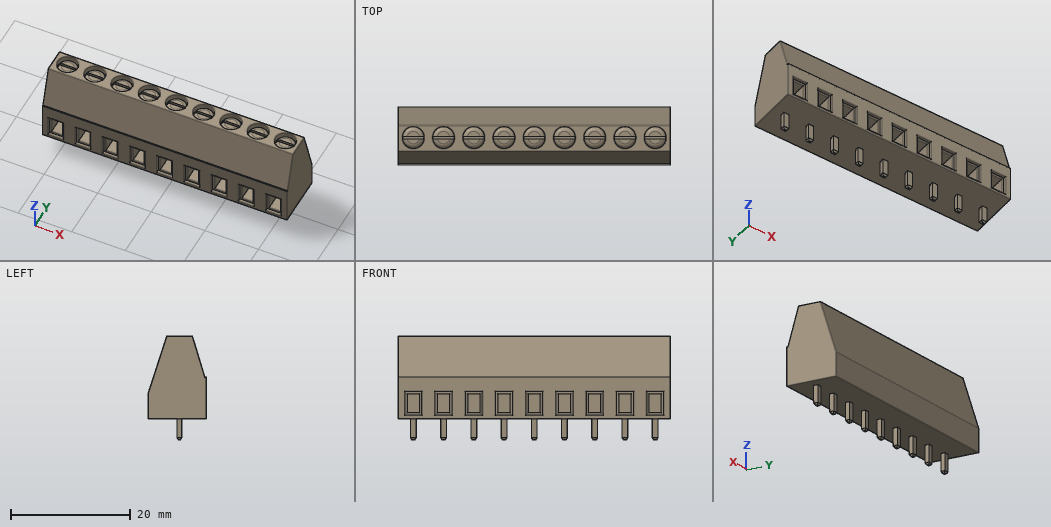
import cadquery as cq

pole_count = 9
body_length = 45.7
body_depth = 9.8
overall_height = 17.4
pitch = body_length / pole_count

pin_length = 3.5
body_height = overall_height - pin_length
front_wall_height = 7.0
back_wall_height = 4.35
front_ledge = 0.25
top_front_y = 2.35
top_back_y = 6.68
edge_radius = 0.1

frame_width = 2.85
frame_height = 3.95
frame_bottom = 0.65
frame_depth = 0.5
frame_border = 0.4
chamber_depth = body_depth / 2

well_diameter = 3.65
well_y = 4.6
screw_top_recess = 0.55
screw_edge_radius = 0.8
screw_rim_flat = 0.005
slot_width = 0.4
slot_depth = 0.45

pin_width = 1.0
pin_thickness = 0.82
pin_y = 4.53
pin_tip_height = 0.35
pin_tip_inset = 0.25

pole_centers = [(i - (pole_count - 1) / 2) * pitch for i in range(pole_count)]


def box_between(x_center, width, y_min, y_max, z_min, z_max):
    """Box centred on x_center, spanning the given Y and Z ranges."""
    return cq.Workplane("XY").box(
        width, y_max - y_min, z_max - z_min, centered=(True, False, False)
    ).translate((x_center, y_min, z_min))


def make_housing():
    """Tapered block with rounded edges; both long edges of the front ledge stay sharp."""
    profile = [
        (0, 0),
        (body_depth, 0),
        (body_depth, back_wall_height),
        (top_back_y, body_height),
        (top_front_y, body_height),
        (front_ledge, front_wall_height),
        (0, front_wall_height),
    ]
    block = cq.Workplane("YZ").polyline(profile).close().extrude(body_length / 2, both=True)
    ledge = block.faces("+Z").faces("<Z")
    sharp_edges = ledge.edges("|X").vals()
    rounded_edges = [
        edge for edge in block.edges().vals()
        if not any(edge.isSame(sharp) for sharp in sharp_edges)
    ]
    return block.newObject(rounded_edges).fillet(edge_radius)


def make_wire_entry(x):
    """Rectangular frame recess and the narrower chamber behind it."""
    frame_top = frame_bottom + frame_height
    frame = box_between(x, frame_width, 0, frame_depth, frame_bottom, frame_top)
    chamber = box_between(
        x,
        frame_width - 2 * frame_border,
        0,
        chamber_depth,
        frame_bottom + frame_border,
        frame_top - frame_border,
    )
    return frame.union(chamber)


def make_screw_well(x):
    """Space above a slotted screw head whose rim is rounded down to the well wall."""
    head_height = screw_edge_radius + screw_rim_flat
    head_top = body_height - screw_top_recess
    floor_z = head_top - head_height
    well = (
        cq.Workplane("XY", origin=(x, well_y, floor_z))
        .circle(well_diameter / 2)
        .extrude(body_height - floor_z)
    )
    head = (
        cq.Workplane("XY", origin=(x, well_y, floor_z))
        .circle(well_diameter / 2)
        .extrude(head_height)
        .faces(">Z")
        .edges()
        .fillet(screw_edge_radius)
    )
    slot = box_between(
        x,
        well_diameter,
        well_y - slot_width / 2,
        well_y + slot_width / 2,
        head_top - slot_depth,
        head_top,
    )
    return well.cut(head.cut(slot))


def make_pin(x):
    """Rectangular pin with a tapered tip, hanging below the housing."""
    pin = box_between(
        x,
        pin_width,
        pin_y - pin_thickness / 2,
        pin_y + pin_thickness / 2,
        -pin_length,
        0,
    )
    return pin.faces("<Z").edges().chamfer(pin_tip_height, pin_tip_inset)


def round_opening_rims(body, plane_faces):
    """Round the edges where openings break through the given faces."""
    rims = [edge for face in plane_faces for wire in face.innerWires() for edge in wire.Edges()]
    return body.newObject(rims).fillet(edge_radius)


housing = make_housing()
for x in pole_centers:
    housing = housing.cut(make_wire_entry(x))
    housing = housing.cut(make_screw_well(x))

frame_floors = [
    face for face in housing.faces("|Y").vals() if abs(face.Center().y - frame_depth) < edge_radius
]
rimmed_faces = housing.faces("<Y").vals() + housing.faces(">Z").vals() + frame_floors
housing = round_opening_rims(housing, rimmed_faces)

result = housing
for x in pole_centers:
    result = result.union(make_pin(x))